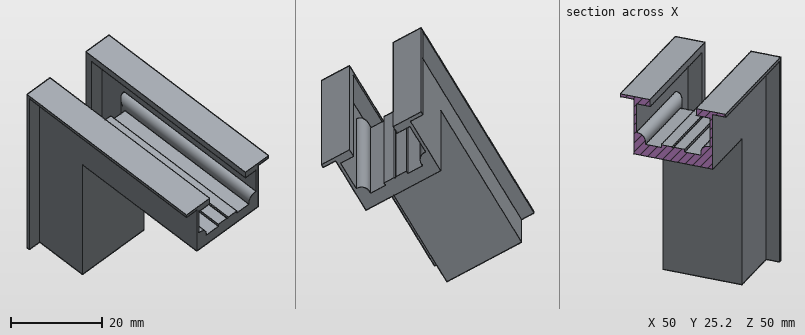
import cadquery as cq
import math

LEG_LENGTH = 50.0
WIDTH = 25.18
SECTION_DEPTH = 14.2

FLANGE_WIDTH = 7.1
OUTER_LIP = 0.8
INNER_LIP = 1.8
OUTER_OVERHANG = 3.15
WALL_THICKNESS = 0.7

FLOOR_DEPTH = 11.2
BEAD_RADIUS = 2.0
BEAD_LEDGE = 0.2
BEAD_FOOT = 0.5
RIB_WIDTH = 5.65
RIB_HEIGHT = 0.65
GROOVE_WIDTH = 0.45
GROOVE_DEPTH = 0.2

y_flange_outer = WIDTH / 2
y_flange_inner = y_flange_outer - FLANGE_WIDTH
y_wall_outer = y_flange_outer - OUTER_OVERHANG
y_wall_inner = y_wall_outer - WALL_THICKNESS
y_bead_center = y_wall_inner - BEAD_LEDGE
y_bead_foot = y_bead_center - BEAD_RADIUS
y_rib = RIB_WIDTH / 2
y_groove = GROOVE_WIDTH / 2

bead_center_depth = FLOOR_DEPTH - BEAD_FOOT
bead_top_depth = bead_center_depth - BEAD_RADIUS
rib_top_depth = FLOOR_DEPTH - RIB_HEIGHT
groove_bottom_depth = rib_top_depth + GROOVE_DEPTH


def half_section():
    """Half of the section (y >= 0), drawn on the end plane of the X leg."""

    def at(y, depth):
        return (y, LEG_LENGTH - depth)

    bead_reach = BEAD_RADIUS * math.sqrt(0.5)
    bead_mid = at(y_bead_center - bead_reach, bead_center_depth - bead_reach)
    return (
        cq.Workplane("YZ", origin=(LEG_LENGTH, 0, 0))
        .moveTo(*at(0, SECTION_DEPTH))
        .lineTo(*at(y_wall_outer, SECTION_DEPTH))
        .lineTo(*at(y_wall_outer, OUTER_LIP))
        .lineTo(*at(y_flange_outer, OUTER_LIP))
        .lineTo(*at(y_flange_outer, 0))
        .lineTo(*at(y_flange_inner, 0))
        .lineTo(*at(y_flange_inner, INNER_LIP))
        .lineTo(*at(y_wall_inner, INNER_LIP))
        .lineTo(*at(y_wall_inner, bead_top_depth))
        .lineTo(*at(y_bead_center, bead_top_depth))
        .threePointArc(bead_mid, at(y_bead_foot, bead_center_depth))
        .lineTo(*at(y_bead_foot, FLOOR_DEPTH))
        .lineTo(*at(y_rib, FLOOR_DEPTH))
        .lineTo(*at(y_rib, rib_top_depth))
        .lineTo(*at(y_groove, rib_top_depth))
        .lineTo(*at(0, groove_bottom_depth))
        .close()
    )


def corner_path():
    """Outer edge of the corner, from the end of the X leg to the end of the Z leg."""
    return cq.Workplane("XZ").polyline([(LEG_LENGTH, LEG_LENGTH), (0, LEG_LENGTH), (0, 0)])


half_corner = half_section().sweep(corner_path(), transition="right")
result = half_corner.union(half_corner.mirror("XZ")).clean()